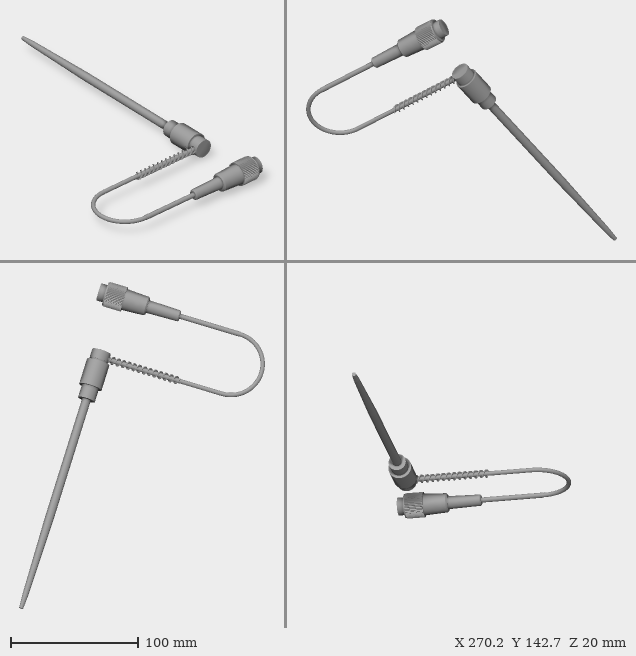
import cadquery as cq
import math

overall_length = 270.2
overall_depth = 142.7

tip_end_diameter = 3.2
tip_nose_diameter = 4.5
tip_nose_length = 10.3
tip_taper_end = 75.0
probe_diameter = 7.0
tip_length = 80.0
rod_end = 174.8

collar_diameter = 13.8
collar_length = 10.5
barrel_diameter = 18.5
barrel_length = 20.8
neck_diameter = 14.9
neck_length = 1.4
cap_diameter = 15.0
cap_length = 9.0
screw_diameter = 1.49
screw_depth = 1.4
screw_x = 204.0

barrel_start = rod_end + collar_length
barrel_end = barrel_start + barrel_length
neck_end = barrel_end + neck_length
handle_end = barrel_end + cap_length

plug_end_y = 16.0
plug_end_diameter = 14.0
nut_diameter = 20.0
nut_top_y = 10.5
nut_bottom_y = -4.9
nut_rim_length = 1.0
nut_rim_diameter = 19.0
knurl_count = 48
knurl_depth = 0.68
boot_top_diameter = 17.0
boot_bottom_diameter = 15.0
boot_step_y = -24.0
boot_step_chamfer = 1.0
stem_top_diameter = 10.3
stem_bottom_diameter = 9.0
boot_end_y = -50.5
boot_end_chamfer = 0.8
cable_socket_depth = 5.5
plug_x = overall_length - nut_diameter / 2

relief_x = 210.5
cable_diameter = 3.5
thick_cable_diameter = 4.0
cable_start_y = -4.0
bend_radius = (plug_x - relief_x) / 2
bend_y = plug_end_y - overall_depth + bend_radius + cable_diameter / 2

relief_diameter = 6.5
sleeve_diameter = 3.8
relief_top_y = -6.2
relief_end_y = -66.0
rib_spacing = 4.3
rib_width = 0.95
rib_root_overlap = 0.14
rib_starts = 2


def along_y(x, y_from, y_to, diameter):
    """Cylinder parallel to Y at the given X, between two Y positions."""
    plane = cq.Workplane("XZ", origin=(x, y_from, 0))
    return plane.circle(diameter / 2).extrude(y_from - y_to)


def along_x(x_from, x_to, diameter):
    """Cylinder on the X axis between two X positions."""
    return cq.Workplane("YZ", origin=(x_from, 0, 0)).circle(diameter / 2).extrude(x_to - x_from)


def make_tip():
    """Slender tip: tapered nose, long taper and a short straight end."""
    profile = [
        (0, 0),
        (0, tip_end_diameter / 2),
        (tip_nose_length, tip_nose_diameter / 2),
        (tip_taper_end, probe_diameter / 2),
        (tip_length, probe_diameter / 2),
        (tip_length, 0),
    ]
    return cq.Workplane("XY").polyline(profile).close().revolve(360, (0, 0, 0), (1, 0, 0))


def make_rod():
    return along_x(tip_length, rod_end, probe_diameter)


def make_handle():
    """Stepped handle with a screw hole and a seat for the strain relief and cable."""
    handle = along_x(rod_end, barrel_start, collar_diameter)
    handle = handle.union(along_x(barrel_start, barrel_end, barrel_diameter))
    handle = handle.union(along_x(barrel_end, neck_end, neck_diameter))
    handle = handle.union(along_x(neck_end, handle_end, cap_diameter))
    surface_y = -barrel_diameter / 2
    handle = handle.cut(along_y(screw_x, surface_y, surface_y + screw_depth, screw_diameter))
    handle = handle.cut(along_y(relief_x, -cap_diameter, relief_top_y, relief_diameter))
    return handle.cut(along_y(relief_x, relief_top_y, cable_start_y, cable_diameter))


def make_cable():
    """Thin cable and bend, joined to the thicker run that enters the plug."""
    left = along_y(relief_x, cable_start_y, bend_y, cable_diameter)
    bend = (
        cq.Workplane("XZ", origin=(relief_x, bend_y, 0))
        .circle(cable_diameter / 2)
        .revolve(180, (bend_radius, 0, 0), (bend_radius, 1, 0))
    )
    right = along_y(plug_x, bend_y, boot_end_y + cable_socket_depth, thick_cable_diameter)
    return left.union(bend).union(right)


def make_strain_relief():
    """Sleeve around the cable with evenly spaced helical ribs."""
    relief = along_y(relief_x, relief_top_y, relief_end_y, sleeve_diameter)
    lead = rib_spacing * rib_starts
    length = relief_top_y - relief_end_y - rib_width
    root_radius = sleeve_diameter / 2 - rib_root_overlap
    helix = cq.Wire.makeHelix(lead, length, root_radius, lefthand=True)
    for start in range(rib_starts):
        rib = (
            cq.Workplane("XZ")
            .center((root_radius + relief_diameter / 2) / 2, 0)
            .rect(relief_diameter / 2 - root_radius, rib_width)
            .sweep(cq.Workplane(helix), isFrenet=True)
            .rotate((0, 0, 0), (0, 0, 1), 360 / rib_starts * start)
            .rotate((0, 0, 0), (1, 0, 0), 90)
            .translate((relief_x, relief_top_y - rib_width / 2, 0))
        )
        relief = relief.union(rib)
    return relief.cut(along_y(relief_x, relief_top_y, relief_end_y, cable_diameter))


def make_plug():
    """Boot and plug end in one turned body, with a socket for the cable."""
    profile = [
        (0, plug_end_y),
        (plug_end_diameter / 2, plug_end_y),
        (plug_end_diameter / 2, nut_bottom_y),
        (boot_top_diameter / 2, nut_bottom_y),
        (boot_bottom_diameter / 2, boot_step_y + boot_step_chamfer),
        (boot_bottom_diameter / 2 - boot_step_chamfer, boot_step_y),
        (stem_top_diameter / 2, boot_step_y),
        (stem_bottom_diameter / 2, boot_end_y + boot_end_chamfer),
        (stem_bottom_diameter / 2 - boot_end_chamfer, boot_end_y),
        (0, boot_end_y),
    ]
    plug = cq.Workplane("XY").polyline(profile).close().revolve(360, (0, 0, 0), (0, 1, 0))
    plug = plug.translate((plug_x, 0, 0))
    return plug.cut(along_y(plug_x, boot_end_y, boot_end_y + cable_socket_depth, thick_cable_diameter))


def make_nut():
    """Ring with V-shaped knurl teeth and a smooth rim at its +Y end."""
    crest = nut_diameter / 2
    root = crest - knurl_depth
    outline = []
    for tooth in range(knurl_count):
        crest_angle = 2 * math.pi * tooth / knurl_count
        root_angle = crest_angle + math.pi / knurl_count
        outline.append((crest * math.cos(crest_angle), crest * math.sin(crest_angle)))
        outline.append((root * math.cos(root_angle), root * math.sin(root_angle)))
    knurl_top_y = nut_top_y - nut_rim_length
    height = knurl_top_y - nut_bottom_y
    nut = cq.Workplane("XZ", origin=(plug_x, knurl_top_y, 0)).polyline(outline).close().extrude(height)
    nut = nut.union(along_y(plug_x, knurl_top_y, nut_top_y, nut_rim_diameter))
    return nut.cut(along_y(plug_x, nut_top_y, nut_bottom_y, plug_end_diameter))


result = cq.Compound.makeCompound([
    make_tip().val(),
    make_rod().val(),
    make_handle().val(),
    make_cable().val(),
    make_strain_relief().val(),
    make_plug().val(),
    make_nut().val(),
])